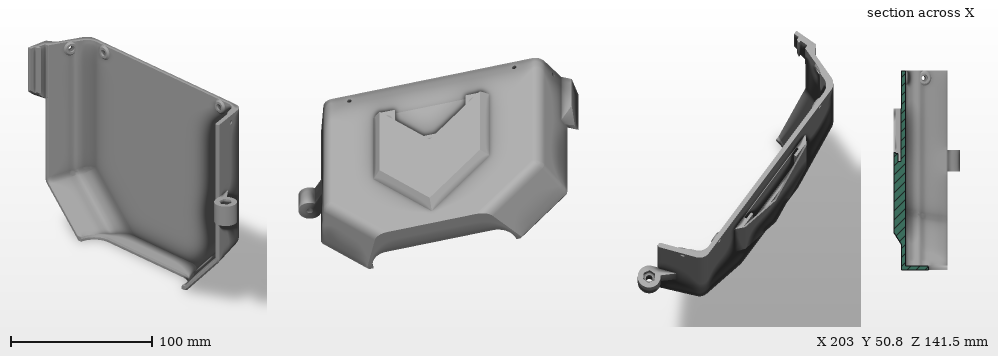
import cadquery as cq
import math

height = 141.5
depth = 32.9
rim_half_width = 91.1
rim_bevel_depth = 1.5
rim_bevel_width = 0.8
inner_bevel_depth = 0.6
draft = math.radians(20)
diagonal_angle = 45
corner_height = 34.1
hub_height = corner_height + rim_half_width * math.tan(math.radians(diagonal_angle / 2))
floor_thickness = 3.2
bottom_thickness = 3.2
corner_radius = 6.0
outer_radius = 8.1
inner_radius = 8.5
rim_thickness = 3.0
thick_wall_end = 11.8
thin_wall_start = 17.3
step_share = 0.4
thick_wall_inset = 1.6
span = 406.0
edge_tolerance = 0.2

opening_half_width = 52.8
opening_depth = 13.5
opening_radius = 13.4
relief_width = 0.6
relief_height = 1.5

boss_diameter = 11.0
boss_top_diameter = 8.1
boss_height = 1.2
boss_drop = boss_diameter / 2
boss_x = 60.9
side_boss_y = -16.2
screw_recess_diameter = 4.9
screw_recess_depth = 1.6
screw_hole_diameter = 3.2

hook_x = -95.0
hook_root_x = -88.0
hook_inner_x = -90.7
hook_end = -45.5
hook_tip_thickness = 2.8
hook_low_edge = 103.1

hinge_x = 99.9
hinge_y = -33.5
hinge_radius = 8.1
hinge_bottom = 69.6
hinge_height = 15.2
hinge_arm_y = -18.9
hinge_hole_diameter = 4.9
nut_width = 8.1
nut_depth = 4.9

holder_half_width = 37.1
holder_thickness = 5.3
holder_top = 114.3
holder_shoulder = 57.0
holder_flare = 5.9
lip_start = 4.0
wing_start = 0.5
wing_end = 2.2
slot_half_width = 26.0
wing_half_width = 31.7


def tilt(distance):
    """Sideways run of a drafted wall over a distance along Y."""
    return distance * math.tan(draft)


def rounded_corner(x, y, radius):
    """Start, middle and end of the arc between a flat face at y and a wall drafted outwards from x."""
    turn = math.pi / 2 - draft
    reach = radius * math.tan(turn / 2)
    start = (x + reach, y)
    middle = (x + reach - radius * math.sin(turn / 2), y - radius * (1 - math.cos(turn / 2)))
    end = (x - reach * math.sin(draft), y - reach * math.cos(draft))
    return start, middle, end


def tray_body(profile):
    """Region inside both side walls and both diagonal walls, all with the same wall profile."""
    side = profile.extrude(span).translate((0, 0, -span / 2))
    pivot = (0, 0, 0)
    diagonal = side.rotate(pivot, (0, 1, 0), -diagonal_angle)
    body = side.intersect(diagonal)
    body = body.intersect(side.mirror("YZ")).intersect(diagonal.mirror("YZ"))
    return body.translate((0, 0, hub_height))


def outer_profile():
    back_x = -rim_half_width + tilt(depth - rim_bevel_depth)
    start, middle, end = rounded_corner(back_x, 0, outer_radius)
    return (
        cq.Workplane("XY")
        .moveTo(span, 0)
        .lineTo(*start)
        .threePointArc(middle, end)
        .lineTo(-rim_half_width, -depth + rim_bevel_depth)
        .lineTo(-rim_half_width + rim_bevel_width, -depth)
        .lineTo(span, -depth)
        .close()
    )


def inner_profile():
    rim_x = -rim_half_width + rim_thickness
    thin_start = (rim_x + tilt(depth - thin_wall_start), -thin_wall_start)
    thick_end = (rim_x + tilt(depth - thick_wall_end) + thick_wall_inset, -thick_wall_end)
    step_middle = tuple(a + step_share * (b - a) for a, b in zip(thick_end, thin_start))
    floor_x = thick_end[0] + tilt(thick_wall_end - floor_thickness)
    start, middle, end = rounded_corner(floor_x, -floor_thickness, inner_radius)
    return (
        cq.Workplane("XY")
        .moveTo(span, -floor_thickness)
        .lineTo(*start)
        .threePointArc(middle, end)
        .lineTo(*thick_end)
        .tangentArcPoint(step_middle, relative=False)
        .tangentArcPoint(thin_start, relative=False)
        .lineTo(rim_x + tilt(inner_bevel_depth), -depth + inner_bevel_depth)
        .lineTo(rim_x - rim_bevel_width / 2, -depth)
        .lineTo(span, -depth)
        .close()
    )


def shell_corners(body):
    """Edges where the side walls meet the diagonal walls."""
    return [
        edge
        for edge in body.edges().vals()
        if edge.BoundingBox().ylen > edge_tolerance
        and abs(edge.Center().x) > opening_half_width
        and 0 < edge.Center().z < hub_height
    ]


def rounded_tray(profile):
    body = tray_body(profile)
    return cq.Workplane(body.val().fillet(corner_radius, shell_corners(body)))


def layer(bottom, top):
    """Large block between two heights."""
    return cq.Workplane("XY").workplane(offset=bottom).rect(span, span).extrude(top - bottom)


def make_shell():
    outer = rounded_tray(outer_profile()).intersect(layer(0, height))
    cavity = rounded_tray(inner_profile()).intersect(layer(bottom_thickness, span))
    return outer.cut(cavity)


def bottom_opening():
    """Cutter for the round-cornered opening, flared at the inner edge of the bottom wall."""
    outline = (
        cq.Sketch()
        .rect(2 * opening_half_width, 2 * opening_depth)
        .vertices()
        .fillet(opening_radius)
    )
    relief_start = bottom_thickness - relief_height
    flare = -math.degrees(math.atan(relief_width / relief_height))
    straight = cq.Workplane("XY").placeSketch(outline).extrude(relief_start)
    relief = cq.Workplane("XY").placeSketch(outline).extrude(relief_height, taper=flare)
    return straight.union(relief.translate((0, 0, relief_start))).translate((0, -depth, 0))


def boss_planes():
    """Planes on the inner faces where the screw bosses stand, their normals pointing into the tray."""
    z = height - boss_drop
    side_x = rim_half_width - rim_thickness - tilt(depth + side_boss_y)
    planes = []
    for side in (-1, 1):
        planes.append(cq.Plane((side * boss_x, -floor_thickness, z), (0, 0, 1), (0, -1, 0)))
        inwards = (-side * math.cos(draft), -math.sin(draft), 0)
        planes.append(cq.Plane((side * side_x, side_boss_y, z), (0, 0, 1), inwards))
    return planes


def add_boss(body, plane):
    slope = math.degrees(math.atan((boss_diameter - boss_top_diameter) / 2 / boss_height))
    cone = cq.Workplane(plane).circle(boss_diameter / 2).extrude(boss_height, taper=slope)
    foot = cq.Workplane(plane).circle(boss_diameter / 2).extrude(-floor_thickness / 2)
    top = cq.Workplane(plane).workplane(offset=boss_height)
    recess = top.circle(screw_recess_diameter / 2).extrude(-screw_recess_depth)
    hole = top.circle(screw_hole_diameter / 2).extrude(-2 * (floor_thickness + boss_height))
    return body.union(cone).union(foot).cut(recess).cut(hole)


def below_plane(a, b, c):
    """Large block under the plane through three points."""
    origin, along, across = cq.Vector(*a), cq.Vector(*b), cq.Vector(*c)
    normal = (along - origin).cross(across - origin)
    if normal.z > 0:
        normal = -normal
    return cq.Workplane(cq.Plane(origin, along - origin, normal)).rect(span, span).extrude(span)


def make_hook():
    tip_x = hook_x + hook_tip_thickness
    outline = [
        (hook_root_x, -24.0),
        (hook_x, -28.5),
        (hook_x, hook_end),
        (tip_x, hook_end),
        (tip_x, -41.5),
        (-90.0, -41.5),
        (-88.7, -38.8),
        (hook_inner_x, -38.8),
        (hook_inner_x, -depth),
        (hook_root_x, -depth),
    ]
    hook = cq.Workplane("XY").polyline(outline).close().extrude(height)
    low_front = (hook_x, -40.5, hook_low_edge)
    low_back = (hook_x, -36.1, hook_low_edge)
    low_root = (hook_root_x, -25.2, hook_low_edge + hook_x - hook_root_x)
    hook = hook.cut(below_plane(low_front, low_back, low_root))
    hook = hook.cut(below_plane(low_back, (hook_x, -28.8, 114.7), low_root))
    return hook.cut(below_plane(low_front, (hook_x, hook_end, 107.2), (tip_x, hook_end, 108.8)))


def make_hinge():
    tangent = (hinge_x - hinge_radius * math.cos(draft), hinge_y - hinge_radius * math.sin(draft))
    arm_outline = [
        (85.7, hinge_arm_y),
        (86.5, hinge_arm_y),
        (94.5, -27.6),
        (hinge_x, hinge_y),
        tangent,
        (90.5, -31.5),
    ]
    base = cq.Workplane("XY").workplane(offset=hinge_bottom)
    arm = base.polyline(arm_outline).close().extrude(hinge_height)
    eye = base.center(hinge_x, hinge_y).circle(hinge_radius).extrude(hinge_height)
    hole = base.center(hinge_x, hinge_y).circle(hinge_hole_diameter / 2).extrude(hinge_height)
    nut_corners = nut_width / math.cos(math.pi / 6)
    nut = cq.Workplane("XY").polygon(6, nut_corners).extrude(nut_depth).rotate((0, 0, 0), (0, 0, 1), 30)
    nut = nut.translate((hinge_x, hinge_y, hinge_bottom + hinge_height - nut_depth))
    return arm.union(eye).cut(hole).cut(nut)


def back_plane(y):
    """Plane facing +Y, its local y pointing up."""
    return cq.Plane((0, y, 0), (-1, 0, 0), (0, 1, 0))


def back_outline(y, corners):
    """Symmetric outline on a plane facing +Y, from the corners of one half listed downwards."""
    mirrored = [(-x, z) for x, z in reversed(corners) if x != 0]
    return cq.Workplane(back_plane(y)).polyline(corners + mirrored).close()


def shield_corners(half_width, shoulder):
    """Straight side and a 45 degree point at the bottom."""
    return [(half_width, holder_top), (half_width, shoulder), (0, shoulder - half_width)]


def make_holder():
    foot_shoulder = holder_shoulder - holder_flare * math.tan(math.radians(diagonal_angle / 2))
    foot_corners = shield_corners(holder_half_width + holder_flare, foot_shoulder)
    foot = back_outline(0, foot_corners)
    face = back_outline(holder_thickness, shield_corners(holder_half_width, holder_shoulder))
    holder = cq.Workplane(cq.Solid.makeLoft([foot.val(), face.val()], True))
    holder = holder.union(foot.extrude(-floor_thickness / 2))

    slot_bottom = holder_top - holder_half_width
    notch_corners = [(holder_half_width, holder_top), (0, slot_bottom)]
    wing_low = slot_bottom + wing_half_width - slot_half_width
    slot_corners = [(slot_half_width, holder_top), (slot_half_width, wing_low)]
    wing_corners = [
        (wing_half_width, holder_top),
        (wing_half_width, wing_low),
        (slot_half_width, slot_bottom),
    ]
    notch = back_outline(lip_start, notch_corners).extrude(holder_thickness - lip_start)
    slot = back_outline(wing_end, slot_corners).extrude(lip_start - wing_end)
    wings = back_outline(wing_start, wing_corners).extrude(wing_end - wing_start)
    return holder.cut(notch).cut(slot).cut(wings)


result = make_shell().cut(bottom_opening())
result = result.union(make_hook()).union(make_hinge()).union(make_holder())
for boss_plane in boss_planes():
    result = add_boss(result, boss_plane)